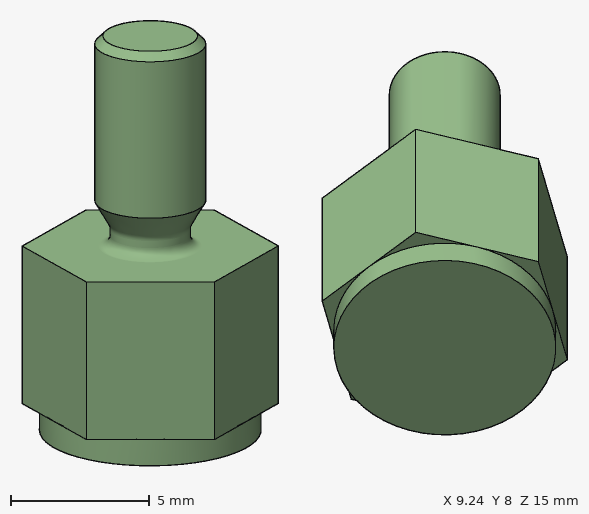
import cadquery as cq
import math

total_height = 15.0
across_flats = 8.0
base_height = 1.0
hex_height = 6.0

stud_diameter = 4.0
stud_length = 6.25
tip_chamfer = 0.3

neck_diameter = 2.9
neck_fillet = 0.4
cone_angle = math.radians(30)

hex_top = base_height + hex_height
stud_bottom = total_height - stud_length
stud_radius = stud_diameter / 2
neck_radius = neck_diameter / 2


def fillet_point(center_z, angle):
    """Point on a neck fillet, at an angle above the inward radial direction."""
    return (
        neck_radius + neck_fillet * (1 - math.cos(angle)),
        center_z + neck_fillet * math.sin(angle),
    )


def make_base():
    return cq.Workplane("XY").circle(across_flats / 2).extrude(base_height)


def make_hexagon():
    """Hexagonal body with two corners on the X axis."""
    across_corners = across_flats / math.cos(math.radians(30))
    return (
        cq.Workplane("XY")
        .workplane(offset=base_height)
        .polygon(6, across_corners)
        .extrude(hex_height)
    )


def make_stud():
    """Neck, cone and chamfered stud as one revolved profile."""
    lower_center = hex_top + neck_fillet
    lower_start = fillet_point(lower_center, -math.pi / 2)
    lower_middle = fillet_point(lower_center, -math.pi / 4)
    lower_end = fillet_point(lower_center, 0)

    fillet_end_radius = fillet_point(0, cone_angle)[0]
    cone_height = (stud_radius - fillet_end_radius) / math.tan(cone_angle)
    upper_center = stud_bottom - cone_height - neck_fillet * math.sin(cone_angle)
    upper_start = fillet_point(upper_center, 0)
    upper_middle = fillet_point(upper_center, cone_angle / 2)
    upper_end = fillet_point(upper_center, cone_angle)

    return (
        cq.Workplane("XZ")
        .moveTo(0, hex_top)
        .lineTo(*lower_start)
        .threePointArc(lower_middle, lower_end)
        .lineTo(*upper_start)
        .threePointArc(upper_middle, upper_end)
        .lineTo(stud_radius, stud_bottom)
        .lineTo(stud_radius, total_height - tip_chamfer)
        .lineTo(stud_radius - tip_chamfer, total_height)
        .lineTo(0, total_height)
        .close()
        .revolve(360, (0, 0, 0), (0, 1, 0))
    )


result = make_base().union(make_hexagon()).union(make_stud())